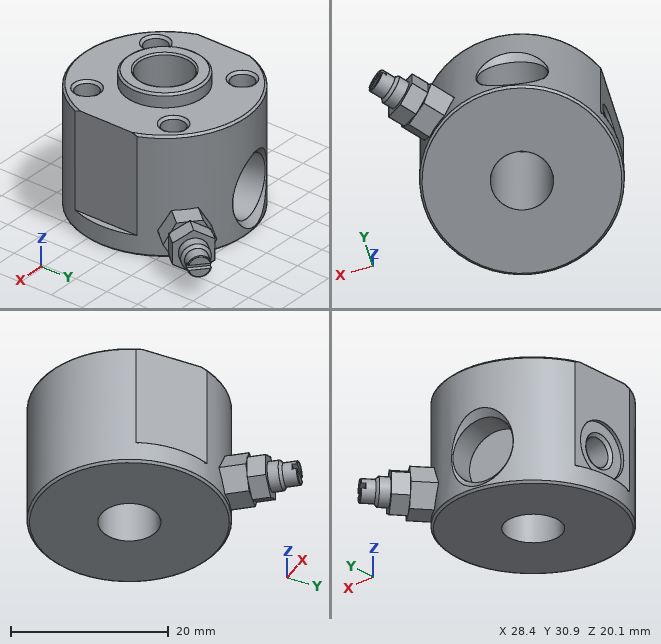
import cadquery as cq
import math

body_diameter = 25.95
body_height = 18.0
boss_diameter = 11.95
boss_height = 2.05
bore_diameter = 8.0
edge_chamfer = 0.3
bore_chamfer = 0.25
total_height = body_height + boss_height
body_radius = body_diameter / 2

flat_distance = 11.95
flat_floor = 3.0

mount_spacing = 14.03
mount_diameter = 3.4
mount_mouth_diameter = 4.15
mount_depth = 5.55
drill_tip_angle = 118

side_port_spot_diameter = 8.05
side_port_spot_depth = 0.5
side_port_mouth_diameter = 5.0
side_port_diameter = 4.15
side_port_depth = 4.02
side_port_height = flat_floor + side_port_spot_diameter / 2

wall_port_angle = 101
wall_port_height = 6.03
wall_port_diameter = 9.0
wall_port_mouth_diameter = 10.95
wall_port_floor = 8.05

connector_angle = 50
connector_height = 4.0
connector_root = 11.75
large_hex_across_flats = 6.03
large_hex_end = 16.0
small_hex_across_flats = 5.5
small_hex_end = 18.42
collar_diameter = 4.0
collar_end = 19.88
pin_diameter = 3.15
pin_end = 22.22
pin_chamfer = 0.12
slot_width = 0.75
slot_depth = 0.68


def radial_plane(angle, distance, height):
    """Plane facing outward, with local X tangential and local Y along Z."""
    direction = math.radians(angle)
    outward = (math.cos(direction), math.sin(direction), 0)
    tangent = (-math.sin(direction), math.cos(direction), 0)
    origin = (distance * outward[0], distance * outward[1], height)
    return cq.Plane(origin=origin, xDir=tangent, normal=outward)


def cone_frustum(plane, start_diameter, end_diameter):
    """45 degree cone growing or shrinking along the plane normal."""
    length = abs(end_diameter - start_diameter) / 2
    frustum = cq.Solid.makeCone(
        start_diameter / 2, end_diameter / 2, length, plane.origin, plane.zDir
    )
    return cq.Workplane(obj=frustum)


def make_body():
    body = cq.Workplane().circle(body_radius).extrude(body_height).edges().chamfer(edge_chamfer)
    boss = cq.Workplane().circle(boss_diameter / 2).extrude(total_height)
    body = body.union(boss.faces(">Z").edges().chamfer(edge_chamfer))

    flat_depth = body_radius - flat_distance
    for side in (-1, 1):
        flat_cut = cq.Workplane().box(
            flat_depth, body_diameter, body_height, centered=(True, True, False)
        )
        body = body.cut(flat_cut.translate((side * (flat_distance + flat_depth / 2), 0, flat_floor)))

    body = body.cut(cq.Workplane().circle(bore_diameter / 2).extrude(total_height))
    mouth_plane = cq.Plane(origin=(0, 0, total_height - bore_chamfer))
    return body.cut(cone_frustum(mouth_plane, bore_diameter, bore_diameter + 2 * bore_chamfer))


def mounting_hole_cutter():
    """Drilled hole with a countersunk mouth, opening at Z = 0."""
    radius = mount_diameter / 2
    mouth_radius = mount_mouth_diameter / 2
    tip_height = radius / math.tan(math.radians(drill_tip_angle / 2))
    profile = [
        (0, 0),
        (mouth_radius, 0),
        (radius, radius - mouth_radius),
        (radius, -mount_depth),
        (0, -mount_depth - tip_height),
    ]
    return cq.Workplane("XZ").polyline(profile).close().revolve(360, (0, 0), (0, 1))


def side_port_cutter():
    spot_floor = flat_distance - side_port_spot_depth
    spot_plane = radial_plane(180, spot_floor, side_port_height)
    cutter = cq.Workplane(spot_plane).circle(side_port_spot_diameter / 2).extrude(side_port_spot_depth)
    cutter = cutter.union(cq.Workplane(spot_plane).circle(side_port_diameter / 2).extrude(-side_port_depth))
    mouth_depth = (side_port_mouth_diameter - side_port_diameter) / 2
    mouth_plane = radial_plane(180, spot_floor - mouth_depth, side_port_height)
    return cutter.union(cone_frustum(mouth_plane, side_port_diameter, side_port_mouth_diameter))


def wall_port_cutter():
    floor_plane = radial_plane(wall_port_angle, wall_port_floor, wall_port_height)
    cutter = cq.Workplane(floor_plane).circle(wall_port_diameter / 2).extrude(body_radius - wall_port_floor)
    mouth_depth = (wall_port_mouth_diameter - wall_port_diameter) / 2
    mouth_plane = radial_plane(wall_port_angle, body_radius - mouth_depth, wall_port_height)
    return cutter.union(cone_frustum(mouth_plane, wall_port_diameter, wall_port_mouth_diameter))


def make_connector():
    def plane_at(distance):
        return radial_plane(connector_angle, distance, connector_height)

    def section(start):
        return cq.Workplane(plane_at(start))

    corner_ratio = 1 / math.cos(math.radians(30))
    large_hex = section(connector_root).polygon(6, large_hex_across_flats * corner_ratio)
    connector = large_hex.extrude(large_hex_end - connector_root)
    small_hex = section(large_hex_end).transformed(rotate=(0, 0, 30))
    small_hex = small_hex.polygon(6, small_hex_across_flats * corner_ratio)
    connector = connector.union(small_hex.extrude(small_hex_end - large_hex_end))

    collar = section(small_hex_end).circle(collar_diameter / 2).extrude(collar_end - small_hex_end)
    shoulder = cone_frustum(plane_at(collar_end), collar_diameter, pin_diameter)
    pin_start = collar_end + (collar_diameter - pin_diameter) / 2
    pin_straight_end = pin_end - pin_chamfer
    pin = section(pin_start).circle(pin_diameter / 2).extrude(pin_straight_end - pin_start)
    pin_nose = cone_frustum(plane_at(pin_straight_end), pin_diameter, pin_diameter - 2 * pin_chamfer)
    for piece in (collar, shoulder, pin, pin_nose):
        connector = connector.union(piece)

    slot = section(pin_end).rect(pin_diameter, slot_width).extrude(-slot_depth)
    return connector.cut(slot)


result = make_body()
for x_side in (-1, 1):
    for y_side in (-1, 1):
        hole_position = (x_side * mount_spacing / 2, y_side * mount_spacing / 2, body_height)
        result = result.cut(mounting_hole_cutter().translate(hole_position))
result = result.cut(side_port_cutter())
result = result.cut(wall_port_cutter())
result = result.union(make_connector())